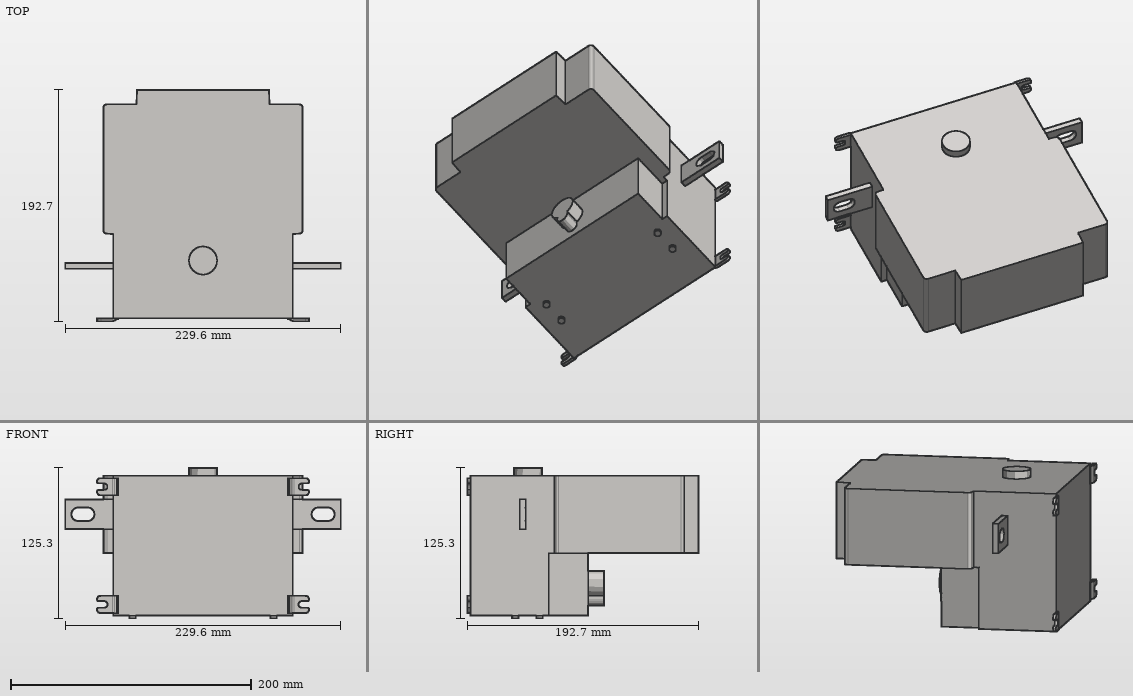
import cadquery as cq
import math


body_width = 149.5
lower_height = 52.0
upper_height = 64.5
body_top = lower_height + upper_height

wide_width = 166.0
wide_front = 70.0
wide_back = 178.2
wide_front_rake = 0.6
wide_corner_radius = 3.0
rear_root_width = 111.0
rear_end_width = 110.0
housing_back = 190.2

lower_step = 65.5
lower_back = 98.2
lower_inset = 5.0

cap_diameter = 23.4
cap_height = 6.5
cap_y = 48.1

bar_span = 229.6
bar_height = 24.8
bar_thickness = 5.0
bar_y = 43.6
bar_z = 84.3
slot_length = 19.0
slot_width = 11.0
slot_x = 100.0

tab_thickness = 2.5
tab_height = 14.5
tab_edge_offset = 2.0
tab_end_x = 88.3
tab_bend_x = 75.5
tab_bend_radius = 3.0
tab_bend_angle = 30.0
tab_ramp_end_x = 71.6
tab_flange_end_x = 70.4
tab_outer_corner = 3.0
tab_inner_corner = 1.4
tab_slot_width = 5.4
tab_slot_bottom_x = 79.6

foot_diameter = 5.7
foot_height = 2.3
foot_x = 58.7
foot_y_positions = (37.5, 57.7)

plug_length = 13.3
plug_radius = 11.0
plug_tail_radius = 5.1
plug_z = 26.3
plug_tail_drop = 13.0


def block(width, y_front, y_back, z_bottom, z_top):
    """Box centred on X = 0 between the given Y and Z limits."""
    return cq.Workplane("XY").box(
        width, y_back - y_front, z_top - z_bottom, centered=(True, False, False)
    ).translate((0, y_front, z_bottom))


def make_upper_housing():
    front = block(body_width, 0, wide_back, lower_height, body_top)
    half_wide = wide_width / 2
    half_body = body_width / 2
    wide = (
        cq.Workplane("XY", origin=(0, 0, lower_height))
        .moveTo(-half_body, wide_front)
        .lineTo(half_body, wide_front)
        .lineTo(half_wide, wide_front + wide_front_rake)
        .lineTo(half_wide, wide_back)
        .lineTo(-half_wide, wide_back)
        .lineTo(-half_wide, wide_front + wide_front_rake)
        .close()
        .extrude(upper_height)
    )
    for side in ("<X", ">X"):
        wide = wide.faces(side).edges("|Z").fillet(wide_corner_radius)
    rear = (
        cq.Workplane("XY", origin=(0, 0, lower_height))
        .moveTo(-rear_root_width / 2, wide_back)
        .lineTo(rear_root_width / 2, wide_back)
        .lineTo(rear_end_width / 2, housing_back)
        .lineTo(-rear_end_width / 2, housing_back)
        .close()
        .extrude(upper_height)
    )
    return front.union(wide).union(rear)


def make_lower_housing():
    front = block(body_width, 0, lower_step, 0, lower_height)
    rear = block(body_width - 2 * lower_inset, lower_step, lower_back, 0, lower_height)
    return front.union(rear)


def make_cap():
    return cq.Workplane("XY", origin=(0, cap_y, body_top)).circle(cap_diameter / 2).extrude(cap_height)


def make_busbars():
    bars = block(
        bar_span,
        bar_y - bar_thickness / 2,
        bar_y + bar_thickness / 2,
        bar_z - bar_height / 2,
        bar_z + bar_height / 2,
    )
    slots = (
        cq.Workplane("XZ", origin=(0, bar_y, bar_z))
        .pushPoints([(-slot_x, 0), (slot_x, 0)])
        .slot2D(slot_length, slot_width)
        .extrude(bar_thickness, both=True)
    )
    return bars.cut(slots)


def make_tab(z_center):
    """Right-hand tab: a forked plate ahead of the front wall, ramping back to a flange sunk in the wall."""
    angle = math.radians(tab_bend_angle)
    bend_center_y = tab_bend_radius - tab_thickness

    def bend_point(turn):
        """Point on the outside of the bend after turning through the given angle."""
        x = tab_bend_x - tab_bend_radius * math.sin(turn)
        y = bend_center_y - tab_bend_radius * math.cos(turn)
        return (x, y)

    def inner_bend_point(turn):
        """Point on the inside of the bend, one plate thickness nearer its centre."""
        x, y = bend_point(turn)
        return (x + tab_thickness * math.sin(turn), y + tab_thickness * math.cos(turn))

    ramp_start_x, ramp_start_y = bend_point(angle)
    flange_y = ramp_start_y + (ramp_start_x - tab_ramp_end_x) * math.tan(angle)
    ramp_shift = tab_thickness * math.tan(angle / 2)
    flange_back = flange_y + tab_thickness
    plate = (
        cq.Workplane("XY", origin=(0, 0, z_center))
        .moveTo(tab_end_x, -tab_thickness)
        .lineTo(tab_bend_x, -tab_thickness)
        .threePointArc(bend_point(angle / 2), (ramp_start_x, ramp_start_y))
        .lineTo(tab_ramp_end_x, flange_y)
        .lineTo(tab_flange_end_x, flange_y)
        .lineTo(tab_flange_end_x, flange_back)
        .lineTo(tab_ramp_end_x + ramp_shift, flange_back)
        .lineTo(*inner_bend_point(angle))
        .threePointArc(inner_bend_point(angle / 2), (tab_bend_x, 0))
        .lineTo(tab_end_x, 0)
        .close()
        .extrude(tab_height / 2, both=True)
    )
    half_slot = tab_slot_width / 2
    half_slot_length = tab_end_x - tab_slot_bottom_x
    slot = (
        cq.Workplane("XZ", origin=(tab_end_x, 0, z_center))
        .slot2D(2 * half_slot_length, tab_slot_width)
        .extrude(tab_thickness, both=True)
    )
    tab = plate.edges("|Y and >X").fillet(tab_outer_corner).cut(slot)
    for corner_z in (z_center - half_slot, z_center + half_slot):
        corner = (tab_end_x, -tab_thickness / 2, corner_z)
        tab = tab.edges(cq.selectors.NearestToPointSelector(corner)).fillet(tab_inner_corner)
    return tab


def make_tabs():
    low_z = tab_edge_offset + tab_height / 2
    right = make_tab(low_z).union(make_tab(body_top - low_z))
    return right.union(right.mirror("YZ"))


def make_feet():
    points = [(x, y) for x in (-foot_x, foot_x) for y in foot_y_positions]
    return cq.Workplane("XY").pushPoints(points).circle(foot_diameter / 2).extrude(-foot_height)


def make_plug():
    rear_plane = cq.Workplane("XZ", origin=(0, lower_back, plug_z))
    head = rear_plane.circle(plug_radius).extrude(-plug_length)
    tail = (
        rear_plane.moveTo(-plug_tail_radius, 0)
        .lineTo(-plug_tail_radius, -plug_tail_drop)
        .threePointArc((0, -plug_tail_drop - plug_tail_radius), (plug_tail_radius, -plug_tail_drop))
        .lineTo(plug_tail_radius, 0)
        .close()
        .extrude(-plug_length)
    )
    return head.union(tail)


features = (
    make_lower_housing(),
    make_cap(),
    make_busbars(),
    make_tabs(),
    make_feet(),
    make_plug(),
)

result = make_upper_housing()
for feature in features:
    result = result.union(feature)